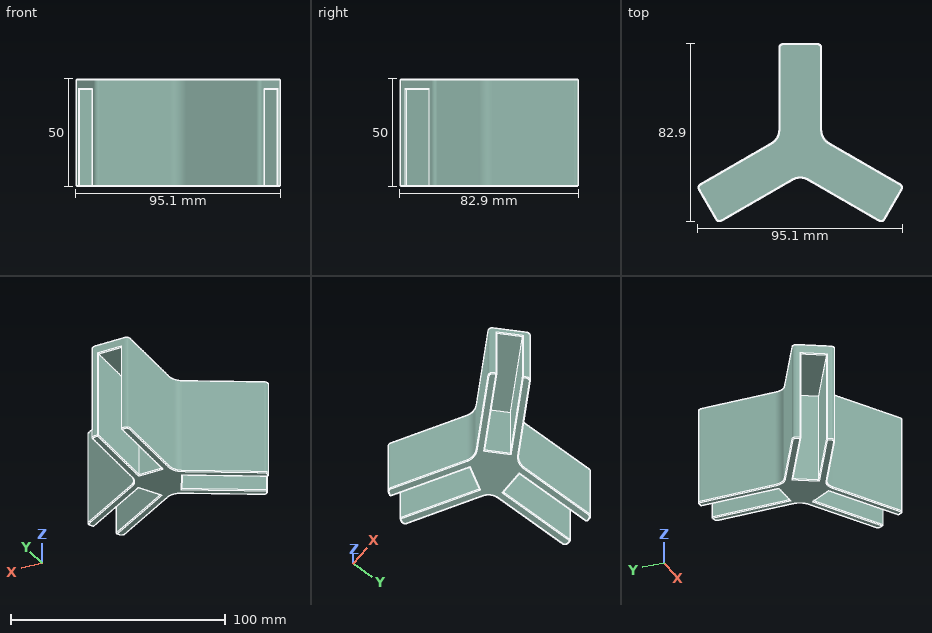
import cadquery as cq
import math

overall_width = 95.1
height = 50.0
arm_width = 20.0
wall = 4.0
roof = 5.0
slot_depth = 40.0
corner_radius = 2.0
junction_radius = 7.0
edge_chamfer = 0.5
arm_count = 3
first_arm_angle = 90

arm_step = 360 / arm_count
slot_width = arm_width - 2 * wall
slot_height = height - roof

tilt = math.radians(30)
corner_side = arm_width / 2 - corner_radius
corner_reach = (overall_width / 2 - corner_radius - corner_side * math.sin(tilt)) / math.cos(tilt)
arm_length = corner_reach + corner_radius

junction_distance = arm_width / (2 * math.sin(math.radians(arm_step / 2)))
selection_margin = 0.1


def turned(shape, angle):
    return shape.rotate((0, 0, 0), (0, 0, 1), angle)


def in_box(x_min, x_max, half_width, z_min, z_max):
    """Selector for edges centred inside a box that straddles the XZ plane."""
    return cq.selectors.BoxSelector((x_min, -half_width, z_min), (x_max, half_width, z_max))


def make_body():
    """Three equal bars with blended junctions and rounded end corners."""
    bar = cq.Workplane("XY").box(arm_length, arm_width, height, centered=(False, True, False))
    body = bar
    for index in range(1, arm_count):
        body = body.union(turned(bar, index * arm_step))
    reach = junction_distance + selection_margin
    junctions = body.edges("|Z").edges(in_box(-reach, reach, reach, 0, height))
    body = junctions.fillet(junction_radius)
    for _ in range(arm_count):
        body = turned(body.faces(">X").edges("|Z").fillet(corner_radius), arm_step)
    return body.faces(">Z").edges().chamfer(edge_chamfer)


def cut_slots(body):
    """Blind slots, open at the arm ends and at the bottom."""
    slot = (
        cq.Workplane("XY", origin=(arm_length - slot_depth, 0, 0))
        .box(slot_depth, slot_width, slot_height, centered=(False, True, False))
    )
    for index in range(arm_count):
        body = body.cut(turned(slot, index * arm_step))
    return body


def chamfer_open_edges(body):
    """Bevel every bottom edge and the sides and top of each slot mouth."""
    mouth = in_box(
        arm_length - selection_margin, arm_length + selection_margin,
        slot_width / 2 + selection_margin,
        selection_margin, slot_height + selection_margin,
    )
    open_edges = body.faces("<Z").edges()
    for index in range(arm_count):
        angle = math.radians(index * arm_step)
        outward = cq.Vector(math.cos(angle), math.sin(angle), 0)
        end_edges = body.faces(cq.selectors.DirectionMinMaxSelector(outward)).edges()
        for edge in end_edges.vals():
            if mouth.filter([edge.rotate(cq.Vector(), cq.Vector(0, 0, 1), -index * arm_step)]):
                open_edges = open_edges.add(edge)
    return open_edges.chamfer(edge_chamfer)


result = turned(chamfer_open_edges(cut_slots(make_body())), first_arm_angle)